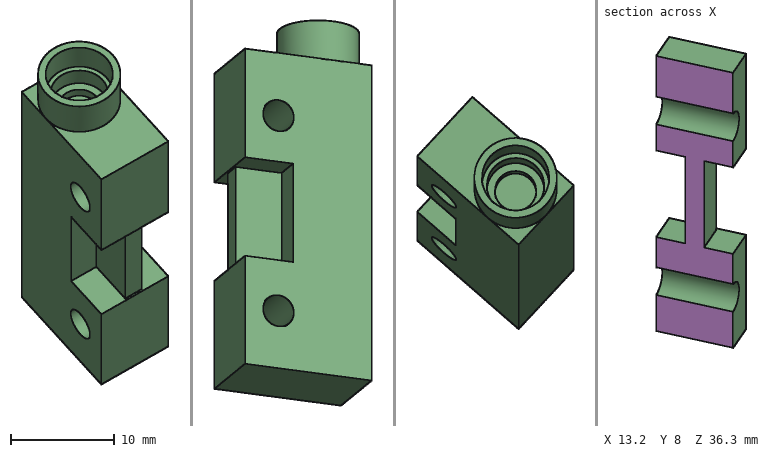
import cadquery as cq

total_height = 36.3
body_length = 13.2
body_thickness = 8.0
collar_height = 4.0
body_height = total_height - collar_height

collar_diameter = body_thickness
collar_x = collar_diameter / 2
socket_diameter = 6.5
socket_depth = 3.0
step_diameter = 5.55
step_depth = 5.0
core_hole_diameter = 4.0
core_hole_depth = 6.0

hole_diameter = 3.2
hole_x = 9.73
lower_hole_z = 5.88
hole_spacing = 20.0

notch_x = 8.2
notch_bottom_z = 11.07
notch_height = 10.1
web_setback = 0.2
web_thickness = body_thickness / 4


def make_body():
    return cq.Workplane("XY").box(
        body_length, body_thickness, body_height, centered=(False, True, False)
    )


def make_cylinder(diameter, bottom_z, height):
    """Upright cylinder on the connector axis."""
    return (
        cq.Workplane("XY", origin=(collar_x, 0, bottom_z))
        .circle(diameter / 2)
        .extrude(height)
    )


def make_socket():
    """Connector bore that narrows in two steps."""
    bore_steps = (
        (socket_diameter, socket_depth),
        (step_diameter, step_depth),
        (core_hole_diameter, core_hole_depth),
    )
    socket = cq.Workplane("XY")
    for diameter, depth in bore_steps:
        socket = socket.union(make_cylinder(diameter, total_height - depth, depth))
    return socket


def make_mounting_hole(center_z):
    return (
        cq.Workplane("XZ", origin=(hole_x, 0, center_z))
        .circle(hole_diameter / 2)
        .extrude(body_thickness / 2, both=True)
    )


def make_notch():
    """Slot across the full thickness, less the web that stays in it."""
    notch_plane = cq.Workplane("XY", origin=(notch_x, 0, notch_bottom_z))
    notch_length = body_length - notch_x
    slot = notch_plane.box(
        notch_length, body_thickness, notch_height, centered=(False, True, False)
    )
    web = notch_plane.box(
        notch_length - web_setback, web_thickness, notch_height, centered=(False, True, False)
    )
    return slot.cut(web)


result = make_body().union(make_cylinder(collar_diameter, body_height, collar_height))
result = result.cut(make_socket())
for hole_z in (lower_hole_z, lower_hole_z + hole_spacing):
    result = result.cut(make_mounting_hole(hole_z))
result = result.cut(make_notch())